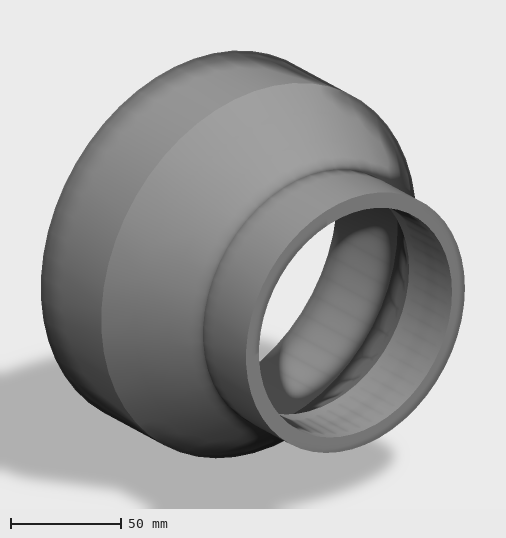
import cadquery as cq

large_diameter = 180.0
large_wall = 10.7
small_diameter = 125.0
small_wall = 7.4

large_length = 45.0
cone_length = 40.0
small_length = 32.0

cone_start = large_length
cone_end = cone_start + cone_length
total_length = cone_end + small_length


def stepped_cone(large_radius, small_radius):
    """Solid of revolution about X: large cylinder, cone, small cylinder."""
    return (
        cq.Workplane("XY")
        .moveTo(0, 0)
        .lineTo(0, large_radius)
        .lineTo(cone_start, large_radius)
        .lineTo(cone_end, small_radius)
        .lineTo(total_length, small_radius)
        .lineTo(total_length, 0)
        .close()
        .revolve(360, (0, 0, 0), (1, 0, 0))
    )


outer_body = stepped_cone(large_diameter / 2, small_diameter / 2)
bore = stepped_cone(large_diameter / 2 - large_wall, small_diameter / 2 - small_wall)

result = outer_body.cut(bore)